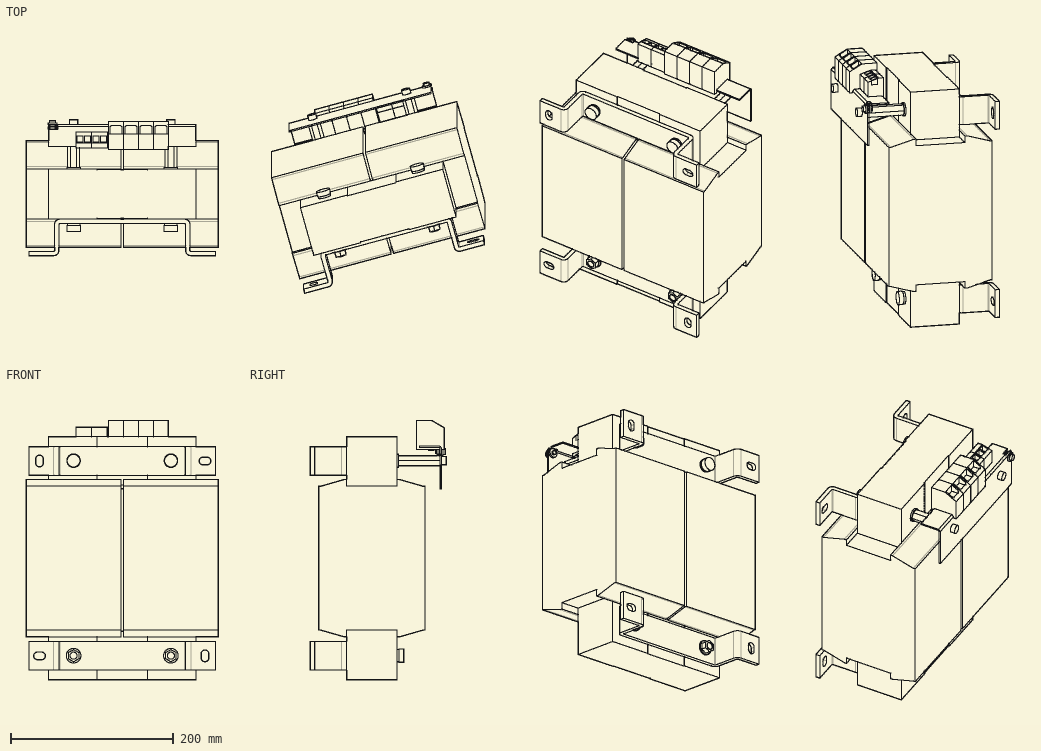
import cadquery as cq
import math

core_height = 300.0
core_width = 182.0
iron_width = 60.0
yoke_depth = 60.0
leg_depth = 62.0
leg_x = (core_width - iron_width) / 2
leg_face_y = leg_depth / 2

overall_width = 237.0
coil_gap = 3.0
coil_width = (overall_width - coil_gap) / 2
coil_x = (coil_gap + coil_width) / 2
coil_depth = 131.5
coil_height = 194.3
coil_shoulder_height = 177.5
coil_edge_land = 2.5
coil_rim_land = 3.0

bracket_thickness = 5.5
bracket_height = 35.5
lower_bracket_z = 29.6
upper_bracket_z = 269.8
bracket_inner_radius = 1.0
bracket_outer_radius = bracket_inner_radius + bracket_thickness
bracket_front_y = -76.1
bracket_half_span = 115.0
bracket_arm_x = 83.5
slot_length = 14.2
slot_width = 9.2
slot_x = 102.0

bolt_x = 60.0
lower_bolt_z = 29.8
upper_bolt_z = core_height - lower_bolt_z
bolt_head_diameter = 16.6
bolt_washer_diameter = 15.5
bolt_washer_thickness = 2.5
bolt_head_front_y = -46.1
lower_bolt_head_height = 8.4
nut_washer_diameter = 18.0
nut_washer_thickness = 2.0
nut_across_flats = 13.0
nut_front_y = -45.3
stud_diameter = 8.8

panel_width = 181.5
panel_back_y = 85.8
panel_thickness = 1.7
panel_bottom_z = 235.5
panel_top_z = 288.4
panel_front_y = 58.5
panel_bend_size = 2.5
standoff_across_flats = 12.7
standoff_washer_diameter = 16.5
standoff_washer_thickness = 2.0
panel_screw_diameter = 10.5
panel_screw_back_y = 91.8

earth_x = -86.0
earth_z = 281.3
earth_washer_diameter = 11.5
earth_head_diameter = 7.5
earth_shank_diameter = 5.0
earth_head_back_y = 90.6
earth_back_washer_y = 87.6
earth_front_washer_back_y = 82.5
earth_front_washer_front_y = 80.3
earth_tip_y = 78.6
earth_notch_width = 11.0
earth_notch_front_y = 79.8

terminal_clearance = 0.1
small_start_x = -57.3
small_count = 2
small_pitch = 19.6
small_front_y = 57.0
small_back_y = 76.5
small_ridge_y = 63.0
small_bottom_z = 283.8
small_foot_z = 282.7
small_foot_front_y = 70.0
small_back_z = 307.0
small_top_z = 311.5
small_pocket_width = 7.5
small_pocket_pitch = 9.4
small_pocket_front_y = 64.2
small_pocket_back_y = 71.5
small_pocket_floor_z = 303.0

large_count = 4
large_start_x = -17.0
large_pitch = 18.5
large_front_y = 54.7
large_back_y = 89.5
large_ridge_y = 74.0
large_bottom_z = 283.8
large_back_z = 310.8
large_top_z = 319.78
large_pocket_width = 14.8
large_pocket_back_y = 84.5
large_pocket_floor_z = 310.0
large_pocket_chamfer = 1.5


def box(x0, x1, y0, y1, z0, z1):
    """Axis-aligned block between two opposite corners."""
    return cq.Workplane("XY").box(x1 - x0, y1 - y0, z1 - z0, centered=False).translate((x0, y0, z0))


def rod(x, z, diameter, y0, y1):
    """Round bar along Y."""
    return cq.Workplane("XZ", origin=(x, y0, z)).circle(diameter / 2).extrude(y0 - y1)


def hex_bar(x, z, across_flats, y0, y1, turn):
    """Hexagonal bar along Y; a turn of zero puts flats at top and bottom."""
    across_corners = across_flats / math.cos(math.pi / 6)
    bar = cq.Workplane("XZ").polygon(6, across_corners).extrude(y0 - y1)
    return bar.rotate((0, 0, 0), (0, 1, 0), turn).translate((x, y0, z))


def extrude_along_x(points, x0, x1):
    """Prism along X from a list of (y, z) points."""
    return cq.Workplane("YZ", origin=(x0, 0, 0)).polyline(points).close().extrude(x1 - x0)


def make_core():
    half_width = core_width / 2
    half_yoke = yoke_depth / 2
    lower = box(-half_width, half_width, -half_yoke, half_yoke, 0, iron_width)
    core = lower.union(lower.translate((0, 0, core_height - iron_width)))
    for x in (-leg_x, leg_x):
        half_leg = iron_width / 2
        core = core.union(box(x - half_leg, x + half_leg, -leg_face_y, leg_face_y, 0, core_height))
    return core


def make_coil(x):
    half_depth = coil_depth / 2
    rim_outer_y = leg_face_y + coil_rim_land
    shoulder_z = coil_shoulder_height / 2
    rim_z = coil_height / 2
    top = [
        (half_depth, shoulder_z),
        (half_depth - coil_edge_land, shoulder_z),
        (rim_outer_y, rim_z),
        (leg_face_y, rim_z),
        (leg_face_y, shoulder_z),
    ]
    top += [(-y, z) for y, z in reversed(top)]
    bottom = [(y, -z) for y, z in reversed(top)]
    coil = extrude_along_x(top + bottom, x - coil_width / 2, x + coil_width / 2)
    return coil.translate((0, 0, core_height / 2))


def make_bracket(z, left_slot_angle):
    """Hat-shaped strap with a slotted foot at each end."""
    back_y = -leg_face_y
    foot_back_y = bracket_front_y + bracket_thickness
    arm_inner_x = bracket_arm_x - bracket_thickness
    half = [
        (bracket_arm_x, back_y),
        (bracket_arm_x, foot_back_y),
        (bracket_half_span, foot_back_y),
        (bracket_half_span, bracket_front_y),
        (arm_inner_x, bracket_front_y),
        (arm_inner_x, back_y - bracket_thickness),
    ]
    outline = half + [(-x, y) for x, y in reversed(half)]
    bracket = cq.Workplane("XY").polyline(outline).close().extrude(bracket_height)

    def bend_edges(x, y):
        reach = bracket_thickness / 4
        spots = [
            cq.selectors.BoxSelector(
                (side * x - reach, y - reach, 0), (side * x + reach, y + reach, bracket_height)
            )
            for side in (-1, 1)
        ]
        return spots[0] + spots[1]

    bracket = bracket.edges("|Z").edges(bend_edges(bracket_arm_x, back_y)).fillet(bracket_outer_radius)
    bracket = bracket.edges("|Z").edges(bend_edges(arm_inner_x, bracket_front_y)).fillet(bracket_outer_radius)
    bracket = bracket.edges("|Z").edges(bend_edges(bracket_arm_x, foot_back_y)).fillet(bracket_inner_radius)
    inner_corner = bend_edges(arm_inner_x, back_y - bracket_thickness)
    bracket = bracket.edges("|Z").edges(inner_corner).fillet(bracket_inner_radius)
    bracket = bracket.translate((0, 0, z - bracket_height / 2))
    for x, angle in ((-slot_x, left_slot_angle), (slot_x, 90 - left_slot_angle)):
        face = cq.Workplane("XZ", origin=(x, foot_back_y, z))
        bracket = bracket.cut(face.slot2D(slot_length, slot_width, angle).extrude(bracket_thickness))
    return bracket


def make_bolt_head(x, z, seat_y, end_y):
    """Washer on a seat and a round bolt head reaching out to its end face."""
    outward = math.copysign(1, end_y - seat_y)
    washer_y = seat_y + outward * bolt_washer_thickness
    washer = rod(x, z, bolt_washer_diameter, seat_y, washer_y)
    return washer.union(rod(x, z, bolt_head_diameter, washer_y, end_y))


def make_clamping_bolts(x):
    """Upper and lower bolt heads, and the lower washer, nut and stud end."""
    strap_y = -leg_face_y - bracket_thickness
    washer_y = strap_y - nut_washer_thickness
    parts = make_bolt_head(x, upper_bolt_z, strap_y, bolt_head_front_y)
    lower_end_y = leg_face_y + lower_bolt_head_height
    parts = parts.union(make_bolt_head(x, lower_bolt_z, leg_face_y, lower_end_y))
    parts = parts.union(rod(x, lower_bolt_z, nut_washer_diameter, washer_y, strap_y))
    parts = parts.union(hex_bar(x, lower_bolt_z, nut_across_flats, nut_front_y, washer_y, 90))
    return parts.union(rod(x, lower_bolt_z, stud_diameter, bolt_head_front_y, washer_y))


def make_panel():
    """Angle plate with a flat-folded corner and a relief at the earth screw."""
    half_width = panel_width / 2
    inner_y = panel_back_y - panel_thickness
    flange_z = panel_top_z - panel_thickness
    inner_bend = panel_bend_size - panel_thickness * (2 - math.sqrt(2))
    outline = [
        (panel_front_y, panel_top_z),
        (panel_back_y - panel_bend_size, panel_top_z),
        (panel_back_y, panel_top_z - panel_bend_size),
        (panel_back_y, panel_bottom_z),
        (inner_y, panel_bottom_z),
        (inner_y, flange_z - inner_bend),
        (inner_y - inner_bend, flange_z),
        (panel_front_y, flange_z),
    ]
    panel = extrude_along_x(outline, -half_width, half_width)
    notch_bottom_z = flange_z - inner_bend
    notch_end_x = earth_notch_width - half_width
    return panel.cut(
        box(-half_width, notch_end_x, earth_notch_front_y, inner_y, notch_bottom_z, panel_top_z)
    )


def make_standoff(x):
    """Washer and hexagonal standoff, with the screw that holds the panel."""
    inner_y = panel_back_y - panel_thickness
    washer_y = leg_face_y + standoff_washer_thickness
    parts = hex_bar(x, upper_bolt_z, standoff_across_flats, leg_face_y, inner_y, 0)
    parts = parts.union(rod(x, upper_bolt_z, standoff_washer_diameter, leg_face_y, washer_y))
    return parts.union(rod(x, upper_bolt_z, panel_screw_diameter, panel_back_y, panel_screw_back_y))


def make_earth_screw():
    """Screw through the panel with a washer on each side of it."""
    sections = [
        (earth_head_diameter, earth_back_washer_y, earth_head_back_y),
        (earth_washer_diameter, panel_back_y, earth_back_washer_y),
        (earth_shank_diameter, earth_tip_y, panel_back_y),
        (earth_washer_diameter, earth_front_washer_front_y, earth_front_washer_back_y),
    ]
    screw = cq.Workplane("XY")
    for diameter, front_y, back_y in sections:
        screw = screw.union(rod(earth_x, earth_z, diameter, front_y, back_y))
    return screw


def make_small_terminal(x):
    outline = [
        (small_front_y, small_bottom_z),
        (small_foot_front_y, small_bottom_z),
        (small_foot_front_y, small_foot_z),
        (small_back_y, small_foot_z),
        (small_back_y, small_back_z),
        (small_ridge_y, small_top_z),
        (small_front_y, small_top_z),
    ]
    block = extrude_along_x(outline, x, x + small_pitch - terminal_clearance)
    for side in (-1, 1):
        middle = x + small_pitch / 2 + side * small_pocket_pitch / 2
        block = block.cut(
            box(
                middle - small_pocket_width / 2, middle + small_pocket_width / 2,
                small_pocket_front_y, small_pocket_back_y,
                small_pocket_floor_z, small_top_z,
            )
        )
    return block


def make_large_terminal(x):
    outline = [
        (large_front_y, large_bottom_z),
        (large_back_y, large_bottom_z),
        (large_back_y, large_back_z),
        (large_ridge_y, large_top_z),
        (large_front_y, large_top_z),
    ]
    block = extrude_along_x(outline, x, x + large_pitch - terminal_clearance)
    middle = x + large_pitch / 2
    pocket = box(
        middle - large_pocket_width / 2, middle + large_pocket_width / 2,
        large_ridge_y, large_pocket_back_y,
        large_pocket_floor_z, large_top_z,
    )
    return block.cut(pocket.edges("|Z and >Y").chamfer(large_pocket_chamfer))


result = make_core()
for coil_center in (-coil_x, coil_x):
    result = result.union(make_coil(coil_center))
result = result.union(make_bracket(lower_bracket_z, 0))
result = result.union(make_bracket(upper_bracket_z, 90))
result = result.union(make_panel())
for bolt_center in (-bolt_x, bolt_x):
    result = result.union(make_clamping_bolts(bolt_center))
    result = result.union(make_standoff(bolt_center))
result = result.union(make_earth_screw())
for index in range(small_count):
    result = result.union(make_small_terminal(small_start_x + index * small_pitch))
for index in range(large_count):
    result = result.union(make_large_terminal(large_start_x + index * large_pitch))